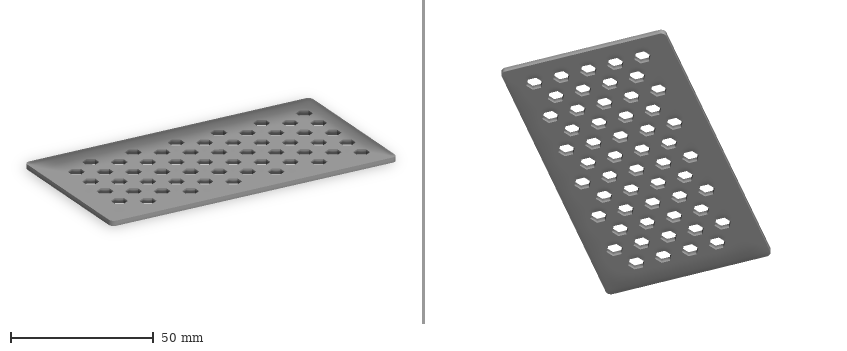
import cadquery as cq
import math

length = 116.0
width = 61.0
thickness = 2.0
corner_radius = 2.0

hole_across_corners = 6.0
row_count = 12
long_row_holes = 5
short_row_holes = long_row_holes - 1
long_row_span = 40.0
hole_pitch = long_row_span / (long_row_holes - 1)
row_pitch = hole_pitch * math.sqrt(3) / 2
pattern_center_x = 0.8
first_row_y = 49.0


def row_centers(row):
    """Hole centers of one row, counted from the +Y end; every second row is one hole shorter."""
    count = long_row_holes if row % 2 == 0 else short_row_holes
    first_x = pattern_center_x - (count - 1) * hole_pitch / 2
    y = first_row_y - row * row_pitch
    return [(first_x + i * hole_pitch, y) for i in range(count)]


plate = (
    cq.Workplane("XY")
    .box(width, length, thickness)
    .edges("|Z")
    .fillet(corner_radius)
)

hole_centers = [center for row in range(row_count) for center in row_centers(row)]

holes = (
    cq.Workplane("XY")
    .workplane(offset=-thickness / 2)
    .pushPoints(hole_centers)
    .polygon(6, hole_across_corners)
    .extrude(thickness)
)

result = plate.cut(holes)